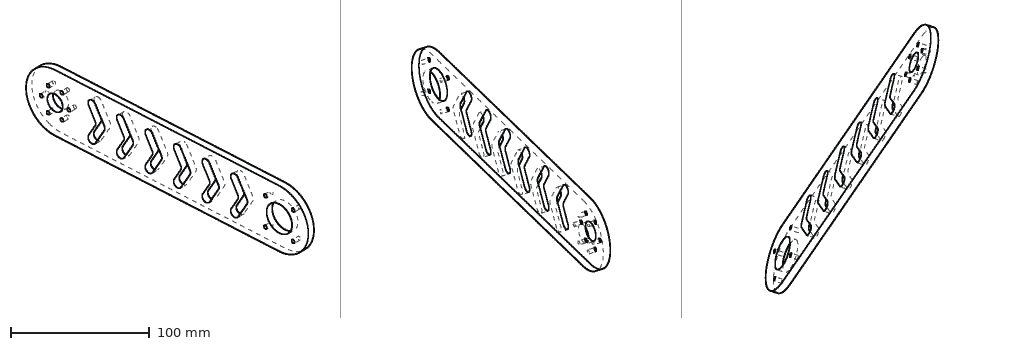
import cadquery as cq
import math

length = 277.0
height = 57.0
thickness = 6.0
end_offset = (length - height) / 2

left_bore_diameter = 15.0
left_ring_diameter = 27.1
left_screw_count = 6

right_bore_diameter = 25.0
right_screw_spacing = 27.1

screw_diameter = 3.0

chevron_count = 6
chevron_pitch = 28.0
chevron_row_center = 0.5
chevron_half_height = 15.0
chevron_arm_angle = 60.0
slot_width = 7.8
chevron_inner_radius = 2.8

arm_run = chevron_half_height / math.tan(math.radians(chevron_arm_angle))
arm_length = math.hypot(arm_run, chevron_half_height)


def sketch_plane():
    """XZ plane on the +Y face, so extrusion runs toward -Y."""
    return cq.Workplane("XZ", origin=(0, thickness / 2, 0))


def holes(points, diameter):
    return sketch_plane().pushPoints(points).circle(diameter / 2).extrude(thickness)


def chevron(tip_x):
    """Two round-ended arms meeting at the tip centre, with a rounded inner corner."""
    arms = None
    for side in (1, -1):
        arm = (
            sketch_plane()
            .center(tip_x - arm_run / 2, side * chevron_half_height / 2)
            .slot2D(arm_length + slot_width, slot_width, -side * chevron_arm_angle)
            .extrude(thickness)
        )
        arms = arm if arms is None else arms.union(arm)
    inner_corner_x = tip_x - slot_width / 2 / math.sin(math.radians(chevron_arm_angle))
    inner_corner = cq.selectors.NearestToPointSelector((inner_corner_x, 0, 0))
    return arms.edges("|Y").edges(inner_corner).fillet(chevron_inner_radius)


plate = sketch_plane().slot2D(length, height).extrude(thickness)

left_screws = []
for i in range(left_screw_count):
    angle = 2 * math.pi * i / left_screw_count
    x = -end_offset + left_ring_diameter / 2 * math.cos(angle)
    z = left_ring_diameter / 2 * math.sin(angle)
    left_screws.append((x, z))
plate = plate.cut(holes([(-end_offset, 0)], left_bore_diameter))
plate = plate.cut(holes(left_screws, screw_diameter))

half_spacing = right_screw_spacing / 2
right_screws = [
    (end_offset + side_x * half_spacing, side_z * half_spacing)
    for side_x in (-1, 1)
    for side_z in (-1, 1)
]
plate = plate.cut(holes([(end_offset, 0)], right_bore_diameter))
plate = plate.cut(holes(right_screws, screw_diameter))

first_tip_x = chevron_row_center + arm_run / 2 - chevron_pitch * (chevron_count - 1) / 2
for i in range(chevron_count):
    plate = plate.cut(chevron(first_tip_x + i * chevron_pitch))

result = plate